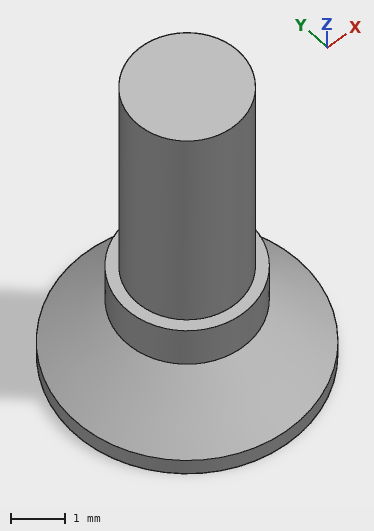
import cadquery as cq

total_height = 8.0
head_diameter = 5.5
collar_diameter = 3.0
shank_diameter = 2.5
rim_height = 0.4
collar_height = 1.0

cone_height = (head_diameter - collar_diameter) / 2

head_radius = head_diameter / 2
collar_radius = collar_diameter / 2
shank_radius = shank_diameter / 2
cone_top = rim_height + cone_height
collar_top = cone_top + collar_height

profile = (
    cq.Workplane("XZ")
    .moveTo(0, 0)
    .lineTo(head_radius, 0)
    .lineTo(head_radius, rim_height)
    .lineTo(collar_radius, cone_top)
    .lineTo(collar_radius, collar_top)
    .lineTo(shank_radius, collar_top)
    .lineTo(shank_radius, total_height)
    .lineTo(0, total_height)
    .close()
)

result = profile.revolve(360, (0, 0, 0), (0, 1, 0))